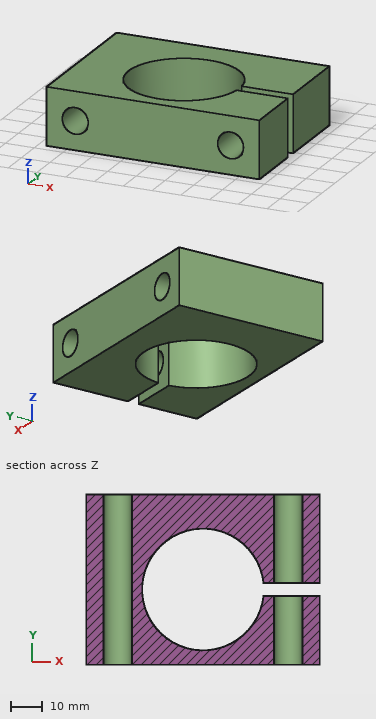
import cadquery as cq

length = 74.0
width = 54.0
height = 20.0

bore_diameter = 38.5
bore_x = length / 2
bore_y = 23.9

slot_width = 4.0

screw_hole_diameter = 9.0
screw_end_distance = 10.0
screw_hole_xs = (screw_end_distance, length - screw_end_distance)


def make_block():
    """Block with one corner at the origin."""
    return cq.Workplane("XY").box(length, width, height, centered=False)


def make_bore():
    """Vertical cylinder through the full height."""
    return cq.Workplane("XY").center(bore_x, bore_y).circle(bore_diameter / 2).extrude(height)


def make_slot():
    """Slot cutter from the bore centre to the +X face, in line with the bore axis."""
    slot = cq.Workplane("XY").box(length - bore_x, slot_width, height, centered=(False, True, False))
    return slot.translate((bore_x, bore_y, 0))


def make_screw_hole(x):
    """Horizontal cylinder through the full width at mid height."""
    hole = cq.Workplane("XZ").circle(screw_hole_diameter / 2).extrude(-width)
    return hole.translate((x, 0, height / 2))


result = make_block().cut(make_bore()).cut(make_slot())
for screw_hole_x in screw_hole_xs:
    result = result.cut(make_screw_hole(screw_hole_x))